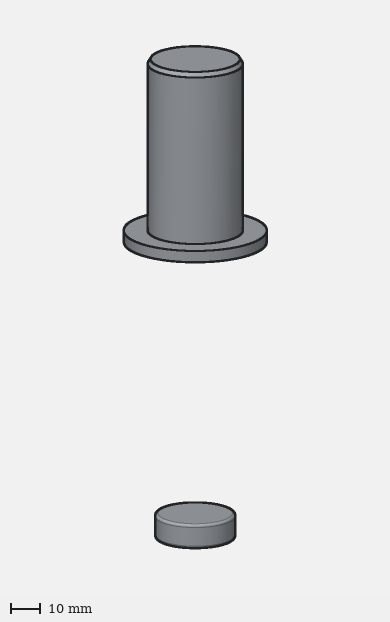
import cadquery as cq

TOTAL_HEIGHT = 167.5

FLANGE_DIAMETER = 48.0
FLANGE_THICKNESS = 4.0
PIN_DIAMETER = 32.0
PIN_HEIGHT = 64.0
PIN_TOP_CHAMFER_HEIGHT = 1.7
PIN_TOP_CHAMFER_WIDTH = 1.0

DISC_DIAMETER = 27.0
DISC_THICKNESS = 8.5
DISC_EDGE_RADIUS = 1.0


def make_flanged_pin():
    """Solid pin with a flange at its foot and a chamfered top edge."""
    flange = cq.Workplane("XY").circle(FLANGE_DIAMETER / 2).extrude(FLANGE_THICKNESS)
    shank = (
        cq.Workplane("XY")
        .circle(PIN_DIAMETER / 2)
        .extrude(PIN_HEIGHT)
        .faces(">Z")
        .chamfer(PIN_TOP_CHAMFER_HEIGHT, PIN_TOP_CHAMFER_WIDTH)
    )
    return flange.union(shank).translate((0, 0, TOTAL_HEIGHT - PIN_HEIGHT))


def make_disc():
    """Flat disc with both rims rounded, standing on Z = 0."""
    return (
        cq.Workplane("XY")
        .circle(DISC_DIAMETER / 2)
        .extrude(DISC_THICKNESS)
        .faces("<Z or >Z")
        .fillet(DISC_EDGE_RADIUS)
    )


flanged_pin = make_flanged_pin()
disc = make_disc()

result = cq.Compound.makeCompound([flanged_pin.val(), disc.val()])